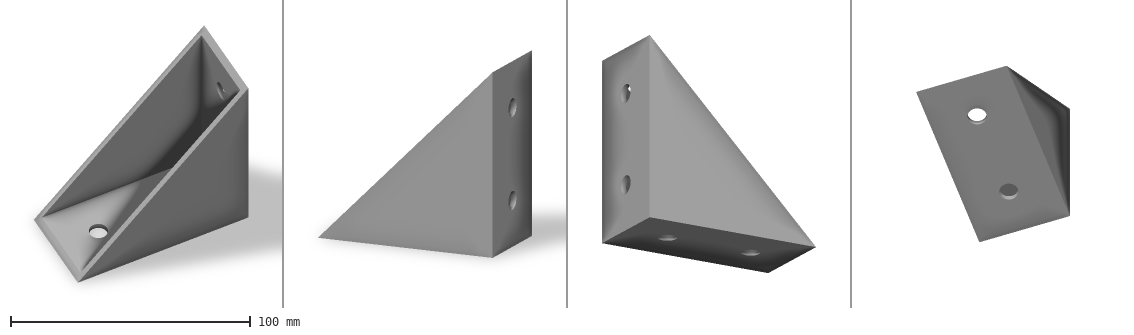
import cadquery as cq

width = 40.0
leg = 80.0

wall = 2.5
hole_diameter = 8.0
hole_positions = (leg / 4, 3 * leg / 4)


def triangular_prism(length, corner_offset):
    """Prism centred on X, its right-angle corner inset from both legs."""
    corner_y = leg / 2 - corner_offset
    tip_y = -leg / 2 + corner_offset
    tip_z = leg - corner_offset
    return (
        cq.Workplane("YZ")
        .polyline([(corner_y, corner_offset), (tip_y, corner_offset), (corner_y, tip_z)])
        .close()
        .extrude(length / 2, both=True)
    )


def hole_cutter(distance, plane):
    """Cylinder reaching through one leg wall, normal to it."""
    if plane == "floor":
        base = cq.Workplane("XY").center(0, leg / 2 - distance)
    else:
        base = cq.Workplane("XZ", origin=(0, leg / 2, distance))
    return base.circle(hole_diameter / 2).extrude(wall)


result = triangular_prism(width, 0).cut(triangular_prism(width - 2 * wall, wall))

for distance in hole_positions:
    for plane in ("floor", "back"):
        result = result.cut(hole_cutter(distance, plane))